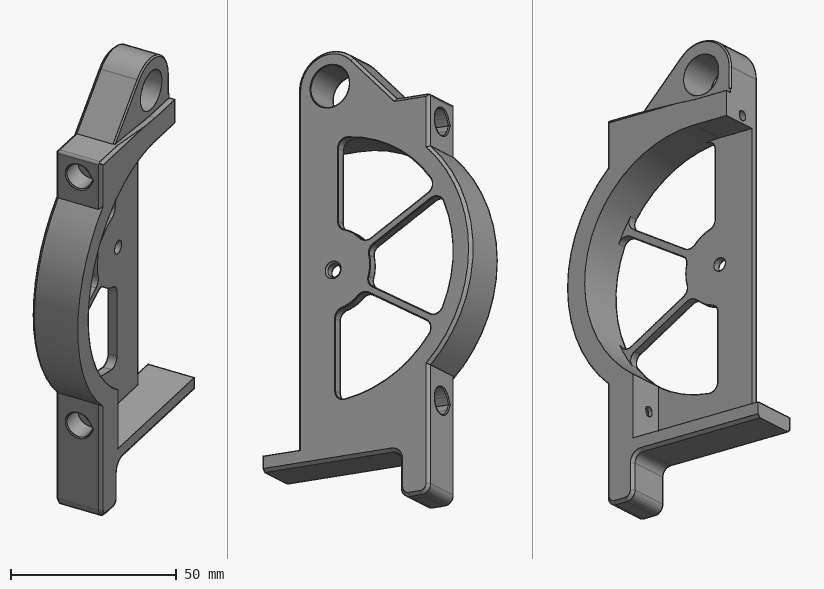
import cadquery as cq
import math


thickness = 16.0
web_thickness = 3.2
rim_radius = 47.8
front_y = -33.1
back_y = 12.2
block_top_z = 51.0
edge_chamfer = 1.0
block_edge_fillet = 0.9

flange_tip_y = 24.2
flange_top_z = -55.2
flange_bottom_z = -60.0
post_bottom_z = -74.9
post_back_y = -23.0
post_fillet = 3.0

lug_thickness = 14.0
lug_radius = 11.1
lug_top_z = 69.1
lug_chamfer = 0.5
eye_radius = 6.6
eye_chamfer = 0.22

ledge_z = 49.5
ledge_rise_start_y = 0.0

hub_radius = 12.8
hub_hole_radius = 2.2
hub_hole_chamfer = 0.6
window_radius = 41.3
upper_window_back_y = -1.7
lower_window_back_y = -0.7
spoke_angle = 30.0
spoke_width = 2.3
spoke_origin_z = -0.6
window_fillet = 3.0
window_chamfer = 0.22

screw_z = 43.9
screw_hole_radius = 1.6
screw_head_radius = 4.2
screw_mouth_chamfer = 0.36
screw_head_depth = 7.2
screw_peak_angle = 30.0
hex_seat_width = 3.9
hex_seat_depth = 1.5

lug_y = back_y - lug_radius
lug_z = lug_top_z - lug_radius
flank_start_y = lug_y - lug_radius * math.sqrt(0.5)
flank_start_z = lug_z + lug_radius * math.sqrt(0.5)
flank_end_y = flank_start_y - (flank_start_z - block_top_z)


def yz_plane(x=0.0):
    """Workplane at the given X, with local axes along Y and Z."""
    return cq.Workplane("YZ", origin=(x, 0, 0))


def round_corner(part, y, z, radius):
    """Fillet the edge that runs along X at the given corner of the outline."""
    corner = cq.selectors.NearestToPointSelector((thickness / 2, y, z))
    return part.edges(corner).fillet(radius)


def make_body():
    """Head, column, flange and post, with the inner edges of the front block chamfered."""
    body = (
        yz_plane()
        .moveTo(flange_tip_y, flange_bottom_z)
        .lineTo(flange_tip_y, flange_top_z)
        .lineTo(back_y, flange_top_z)
        .lineTo(back_y, block_top_z)
        .lineTo(front_y, block_top_z)
        .lineTo(front_y, post_bottom_z)
        .lineTo(post_back_y, post_bottom_z)
        .lineTo(post_back_y, flange_bottom_z)
        .close()
        .extrude(thickness)
    )
    body = round_corner(body, front_y, post_bottom_z, post_fillet)
    body = round_corner(body, post_back_y, post_bottom_z, post_fillet)
    body = round_corner(body, post_back_y, flange_bottom_z, post_fillet)
    inner_face = body.faces(">X")
    top_edge = inner_face.edges(">Z").vals()
    post_edges = [
        edge
        for edge in inner_face.edges().vals()
        if edge.Center().y < post_back_y + post_fillet / 2
    ]
    return body.newObject(top_edge + post_edges).chamfer(edge_chamfer)


def make_rim():
    """Round bulge of the front, reaching back into the body."""
    front = cq.Workplane("XY").box(
        thickness,
        rim_radius + post_back_y,
        2 * rim_radius,
        centered=(False, False, True),
    )
    disc = yz_plane().circle(rim_radius).extrude(thickness)
    return disc.intersect(front.translate((0, -rim_radius, 0)))


def make_ledge_cut():
    """Space above the ledge, beside the lug."""
    return (
        yz_plane(lug_thickness)
        .moveTo(back_y, ledge_z)
        .lineTo(ledge_rise_start_y, ledge_z)
        .lineTo(flank_end_y, block_top_z)
        .lineTo(back_y, block_top_z)
        .close()
        .extrude(thickness - lug_thickness)
    )


def make_lug():
    lug = (
        yz_plane()
        .moveTo(back_y, block_top_z)
        .lineTo(back_y, lug_z)
        .threePointArc((lug_y, lug_top_z), (flank_start_y, flank_start_z))
        .lineTo(flank_end_y, block_top_z)
        .close()
        .extrude(lug_thickness)
    )
    inner_edges = lug.faces(">X").edges(">Z or <Y").vals()
    return lug.newObject(inner_edges).chamfer(lug_chamfer)


def chamfer_outer_face(part):
    """Chamfer the outline of the outer face, leaving the top and tip of the flange sharp."""

    def is_sharp(edge):
        center = edge.Center()
        return center.y > back_y + edge_chamfer and center.z > flange_bottom_z + edge_chamfer

    edges = [edge for edge in part.faces("<X").edges().vals() if not is_sharp(edge)]
    return part.newObject(edges).chamfer(edge_chamfer)


def make_pocket():
    """Space behind the web: round under the rim, open to the rear and down to the flange."""
    depth = thickness - web_thickness
    disc = yz_plane(web_thickness).circle(window_radius).extrude(depth)
    rear = (
        yz_plane(web_thickness)
        .moveTo(post_back_y, 0)
        .lineTo(post_back_y, flange_top_z)
        .lineTo(back_y, flange_top_z)
        .lineTo(back_y, window_radius)
        .lineTo(0, window_radius)
        .lineTo(0, 0)
        .close()
        .extrude(depth)
    )
    return disc.union(rear)


def make_window(corners):
    """Opening through the web between the hub and the rim, inside the given corners."""
    ring = yz_plane().circle(window_radius).circle(hub_radius).extrude(web_thickness)
    wedge = yz_plane().polyline(corners).close().extrude(web_thickness)
    return ring.intersect(wedge).edges("|X").fillet(window_fillet)


def make_windows():
    slope = math.tan(math.radians(spoke_angle))
    half_spoke = spoke_width / 2 / math.cos(math.radians(spoke_angle))
    far_y = -2 * window_radius
    far_z = -far_y * slope

    def outer_corners(side, window_back_y):
        heights = (
            (window_back_y, half_spoke - window_back_y * slope),
            (far_y, half_spoke + far_z),
            (window_back_y, half_spoke + far_z),
        )
        return [(y, spoke_origin_z + side * z) for y, z in heights]

    middle_corners = [
        (-half_spoke / slope, spoke_origin_z),
        (far_y, spoke_origin_z + far_z - half_spoke),
        (far_y, spoke_origin_z - far_z + half_spoke),
    ]
    upper_corners = outer_corners(1, upper_window_back_y)
    lower_corners = outer_corners(-1, lower_window_back_y)
    return [make_window(corners) for corners in (upper_corners, middle_corners, lower_corners)]


def head_outline(plane, radius):
    """Circle with a low peak towards +X, tangent to its round part."""
    angle = math.radians(screw_peak_angle)
    tangent_x = radius * math.cos(angle)
    tangent_z = radius * math.sin(angle)
    return (
        plane.moveTo(tangent_x, tangent_z)
        .threePointArc((-radius, 0), (tangent_x, -tangent_z))
        .lineTo(radius / math.cos(angle), 0)
        .close()
    )


def make_screw_cut(z):
    """Stepped hole from the front through to the rear: head bore, hexagonal seat, round hole."""
    front = cq.Workplane("XZ", origin=(thickness / 2, front_y, z))
    hole = front.circle(screw_hole_radius).extrude(front_y - back_y)
    seat_corners = hex_seat_width / math.cos(math.pi / 6)
    seat = front.polygon(6, seat_corners).extrude(-screw_head_depth - hex_seat_depth)
    head = head_outline(front, screw_head_radius).extrude(-screw_head_depth)
    mouth_radius = screw_head_radius + screw_mouth_chamfer
    mouth = head_outline(front, mouth_radius).extrude(-screw_mouth_chamfer, taper=45)
    return hole.union(seat).union(head).union(mouth)


def make_bore(radius, chamfer, y, z):
    """Bore along X, chamfered at the outer face."""
    bore = yz_plane().center(y, z).circle(radius).extrude(thickness)
    mouth = cq.Solid.makeCone(radius + chamfer, 0, radius + chamfer, (0, y, z), (1, 0, 0))
    return bore.union(cq.Workplane(mouth))


def cut_windows(part):
    """Cut the windows and chamfer their edges on the outer face."""
    for window in make_windows():
        part = part.cut(window)
    outlines = part.faces("<X").val().innerWires()
    edges = [edge for outline in outlines for edge in outline.Edges()]
    return part.newObject(edges).chamfer(window_chamfer)


part = make_body().union(make_rim()).cut(make_ledge_cut()).union(make_lug())
part = chamfer_outer_face(part)
part = round_corner(part, front_y, block_top_z, block_edge_fillet)
part = cut_windows(part.cut(make_pocket()))
part = part.cut(make_bore(eye_radius, eye_chamfer, lug_y, lug_z))
part = part.cut(make_bore(hub_hole_radius, hub_hole_chamfer, 0, 0))
for z in (-screw_z, screw_z):
    part = part.cut(make_screw_cut(z))
result = part